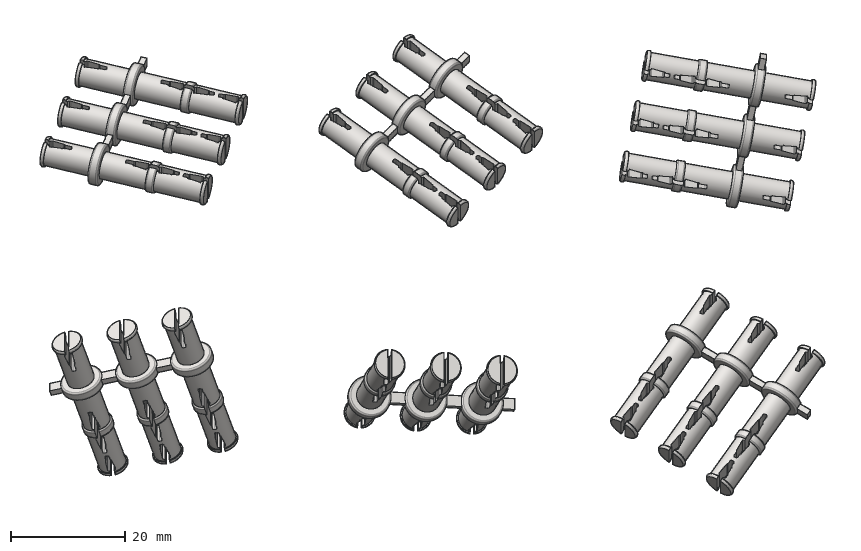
import cadquery as cq
import math

pin_count = 3
pin_pitch = 10.0
pin_length = 30.1
body_diameter = 4.9

flange_diameter = 7.5
flange_width = 1.75
flange_center = 10.0
flange_fillet = 0.3

collar_diameter = 5.5
collar_width = 1.55
collar_center = 20.1
collar_fillet = 0.25

lip_diameter = 5.5
lip_width = 0.65
lip_crest = 0.4
lip_round = 0.5

bar_width = 1.1
bar_height = 2.0
total_width = 29.53

slot_width = 0.75
bulge_width = 1.44
step_width = 1.04
bulge_ramp = 0.25
bulge_flat = 0.25
taper_length = 2.05
step_length = 0.2
slot_end_fillet = 0.25
end_neck = 0.9
collar_neck = 0.95
front_slot_length = 5.0
collar_front_slot_length = 5.1
collar_rear_slot_length = 4.68
rear_slot_length = 4.5


def lip(end_x, inward):
    """Snap lip at the pin end face end_x; inward is the X sign towards the pin middle."""
    crest_radius = lip_diameter / 2
    round_center = crest_radius - lip_round

    def lip_radius(depth):
        return round_center + math.sqrt(lip_round**2 - (depth - lip_crest) ** 2)

    crest_x = end_x + inward * lip_crest
    inner_x = end_x + inward * lip_width
    return (
        cq.Workplane("XY")
        .moveTo(end_x, 0)
        .lineTo(end_x, lip_radius(0))
        .threePointArc((crest_x, crest_radius), (inner_x, lip_radius(lip_width)))
        .lineTo(inner_x, 0)
        .close()
        .revolve(360, (0, 0, 0), (1, 0, 0))
    )


def disc(center_x, diameter, width, fillet):
    """Disc on the pin axis with both rims rounded."""
    return (
        cq.Workplane("YZ", origin=(center_x - width / 2, 0, 0))
        .circle(diameter / 2)
        .extrude(width)
        .edges()
        .fillet(fillet)
    )


def slot(mouth_x, direction, neck, length):
    """Slot cutter running from mouth_x along the X sign direction to a round-cornered end."""
    ramp_end = neck + bulge_ramp
    flat_end = ramp_end + bulge_flat
    taper_end = flat_end + taper_length
    side = [
        (0, slot_width / 2),
        (neck, slot_width / 2),
        (ramp_end, bulge_width / 2),
        (flat_end, bulge_width / 2),
        (taper_end, step_width / 2),
        (taper_end + step_length, slot_width / 2),
        (length, slot_width / 2),
    ]
    upper = [(mouth_x + direction * distance, y) for distance, y in side]
    lower = [(x, -y) for x, y in reversed(upper)]
    end_face = ">X" if direction > 0 else "<X"
    return (
        cq.Workplane("XY")
        .polyline(upper + lower)
        .close()
        .extrude(flange_diameter / 2, both=True)
        .faces(end_face)
        .edges("|Z")
        .fillet(slot_end_fillet)
    )


def pin():
    """One complete pin with its axis on X and its front end at X = 0."""
    body = cq.Workplane("YZ").circle(body_diameter / 2).extrude(pin_length)
    body = body.union(disc(flange_center, flange_diameter, flange_width, flange_fillet))
    body = body.union(disc(collar_center, collar_diameter, collar_width, collar_fillet))
    body = body.union(lip(0, 1))
    body = body.union(lip(pin_length, -1))
    body = body.cut(slot(0, 1, end_neck, front_slot_length))
    body = body.cut(slot(collar_center, -1, collar_neck, collar_front_slot_length))
    body = body.cut(slot(collar_center, 1, collar_neck, collar_rear_slot_length))
    body = body.cut(slot(pin_length, -1, end_neck, rear_slot_length))
    return body


def joining_bar():
    """Bar from the first pin axis through all flanges to the stub end."""
    length = total_width - flange_diameter / 2
    bar = cq.Workplane("XY").box(bar_width, length, bar_height, centered=(True, False, True))
    return bar.translate((flange_center, 0, 0))


single_pin = pin()
result = joining_bar()
for index in range(pin_count):
    result = result.union(single_pin.translate((0, index * pin_pitch, 0)))